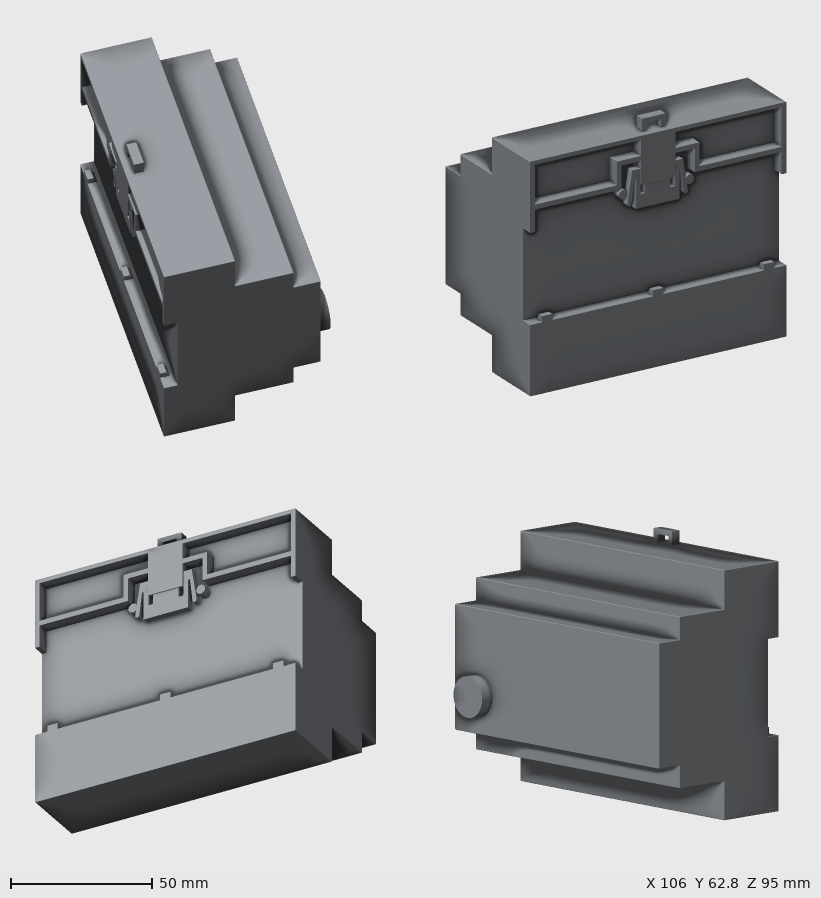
import cadquery as cq

width = 106.0
height = 90.0
back_depth = 26.3
middle_depth = 47.8
front_depth = 57.8
edge_radius = 0.2
middle_bottom, middle_top = 14.1, 75.9
front_bottom, front_top = 22.4, 67.6

recess_depth = 5.0
rail_bottom, rail_top = 27.3, 62.6

side_wall = 1.9
top_wall = 1.6
shelf_wall = 1.9
shelf_top = 73.1
arch_half_width = 17.1
arch_top = 82.3
tongue_half_width = 7.1

latch_back = 0.4
latch_thickness = 2.8
latch_half_width = 9.0
latch_bottom = 62.2
latch_top = 77.3
notch_width = 1.9
notch_height = 3.7
arm_top_outer = 10.5
slit_top = 73.4
slit_top_outer = 9.8
arm_tip_outer, arm_tip_inner = 12.5, 10.8
arm_tip_z = 64.6

post_x, post_z = 13.8, 68.5
post_radius = 1.8
post_length = 3.9

loop_width = 9.6
loop_wall = 1.9
loop_height = 5.0
loop_back, loop_front = 3.0, 6.6

tab_width = 4.2
tab_height = 2.3
tab_top_depth, tab_base_depth = 2.3, 3.6
tab_spacing = 45.9

knob_x, knob_z = 41.0, 36.3
knob_radius = 7.4
knob_front = 62.8


def box(x_range, y_range, z_range):
    """Axis-aligned box between the given limits."""
    sizes = [high - low for low, high in (x_range, y_range, z_range)]
    corner = (x_range[0], y_range[0], z_range[0])
    return cq.Workplane("XY").box(*sizes, centered=False).translate(corner)


def centred_box(half_width, y_range, z_range):
    return box((-half_width, half_width), y_range, z_range)


def both_sides(shape):
    """The shape together with its mirror image across x = 0."""
    return shape.union(shape.mirror("YZ"))


def rounded_tier(depth, bottom, top):
    """Full-width block with every edge rounded except those of its back face."""
    tier = centred_box(width / 2, (0, depth), (bottom, top))
    return tier.edges("not <Y").fillet(edge_radius)


def housing():
    half_width = width / 2
    body = rounded_tier(back_depth, 0, height)
    body = body.union(rounded_tier(middle_depth, middle_bottom, middle_top))
    body = body.union(rounded_tier(front_depth, front_bottom, front_top))
    rail_recess = centred_box(half_width, (0, recess_depth), (rail_bottom, rail_top))
    back_pocket = centred_box(half_width - side_wall, (0, recess_depth), (rail_top, height - top_wall))
    return body.cut(rail_recess).cut(back_pocket)


def shelf():
    """Horizontal wall that rises into a square arch around the latch."""
    depth = (0, recess_depth)
    shelf_bottom = shelf_top - shelf_wall
    wall = centred_box(width / 2 - side_wall, depth, (shelf_bottom, shelf_top))
    wall = wall.union(centred_box(arch_half_width, depth, (shelf_bottom, arch_top)))
    opening = centred_box(arch_half_width - shelf_wall, depth, (shelf_bottom, arch_top - shelf_wall))
    return wall.cut(opening)


def tongue():
    return centred_box(tongue_half_width, (0, recess_depth), (shelf_top - shelf_wall, height - top_wall))


def latch():
    """Plate with two corner notches and a splayed spring arm on each side."""
    y_range = (latch_back, latch_back + latch_thickness)
    tongue_bottom = shelf_top - shelf_wall
    plate = centred_box(latch_half_width, y_range, (latch_bottom, latch_top))
    notch = box(
        (tongue_half_width - notch_width, tongue_half_width),
        y_range,
        (tongue_bottom - notch_height, tongue_bottom),
    )
    tip_radius = (arm_tip_outer - arm_tip_inner) / 2
    arm = (
        cq.Workplane("XZ", origin=(0, y_range[1], 0))
        .moveTo(tongue_half_width, latch_top)
        .lineTo(arm_top_outer, latch_top)
        .lineTo(arm_tip_outer, arm_tip_z)
        .threePointArc(
            (arm_tip_outer - tip_radius, arm_tip_z - tip_radius),
            (arm_tip_inner, arm_tip_z),
        )
        .lineTo(slit_top_outer, slit_top)
        .lineTo(tongue_half_width, slit_top)
        .close()
        .extrude(latch_thickness)
    )
    return plate.cut(both_sides(notch)).union(both_sides(arm))


def posts():
    post = (
        cq.Workplane("XZ", origin=(post_x, recess_depth, post_z))
        .circle(post_radius)
        .extrude(post_length)
    )
    return both_sides(post)


def release_loop():
    y_range = (loop_back, loop_front)
    loop_top = height + loop_height
    loop = centred_box(loop_width / 2, y_range, (height, loop_top))
    opening = centred_box(loop_width / 2 - loop_wall, y_range, (height, loop_top - loop_wall))
    return loop.cut(opening)


def rail_tab(x_centre):
    return (
        cq.Workplane("YZ", origin=(x_centre - tab_width / 2, 0, rail_bottom))
        .polyline([(0, 0), (tab_base_depth, 0), (tab_top_depth, tab_height), (0, tab_height)])
        .close()
        .extrude(tab_width)
    )


def knob():
    return (
        cq.Workplane("XZ", origin=(knob_x, knob_front, knob_z))
        .circle(knob_radius)
        .extrude(knob_front - front_depth)
    )


result = housing()
for feature in (shelf(), tongue(), latch(), posts(), release_loop(), knob()):
    result = result.union(feature)
for tab_x in (-tab_spacing, 0, tab_spacing):
    result = result.union(rail_tab(tab_x))